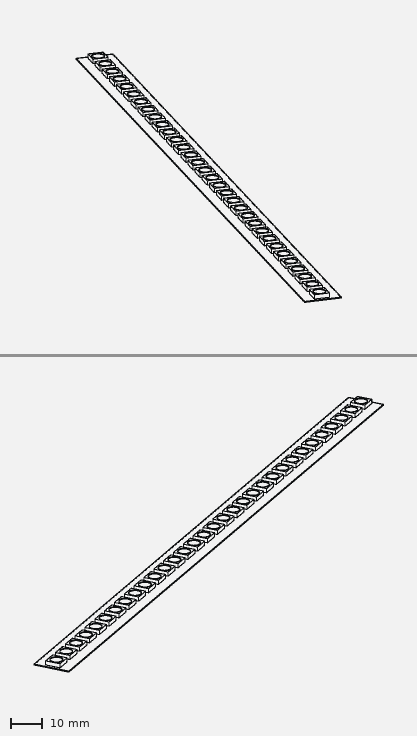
import cadquery as cq

strip_length = 224.0
strip_width = 12.0
strip_thickness = 0.34
total_height = 1.75

package_count = 32
package_gap = 2.0
package_pitch = strip_length / package_count
package_side = package_pitch - package_gap
package_height = total_height - strip_thickness

well_diameter = 4.0
well_depth = 0.2


def package_centres(height):
    """Evenly spaced package centres along the strip, on a plane at the given height."""
    plane = cq.Workplane("XY").workplane(offset=height)
    return plane.rarray(package_pitch, 2.2, package_count, 1)


def make_strip():
    return cq.Workplane("XY").box(
        strip_length, strip_width, strip_thickness, centered=(True, True, False)
    )


def make_packages():
    return package_centres(strip_thickness).rect(package_side, package_side).extrude(package_height)


def make_wells():
    return package_centres(total_height - well_depth).circle(well_diameter / 2).extrude(well_depth)


result = make_strip().union(make_packages()).cut(make_wells())